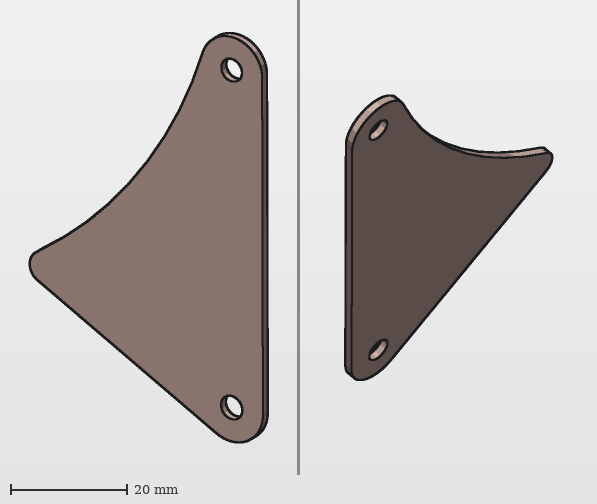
import cadquery as cq
import math

height = 76.2
width = 47.8
thickness = 1.6

lower_radius = 6.4
upper_radius = 6.25
tip_radius = 3.05
lower_hole_diameter = 4.35
upper_hole_diameter = 4.2

tip_rise = 17.15
lower = (0.0, 0.0)
upper = (0.0, height - lower_radius - upper_radius)
tip = (lower_radius + tip_radius - width, tip_rise)

edge_radius = 86.55


def along(start, angle, distance):
    """Point at a distance from start in the direction of angle."""
    return (start[0] + distance * math.cos(angle), start[1] + distance * math.sin(angle))


def direction(start, end):
    return math.atan2(end[1] - start[1], end[0] - start[0])


def tangent_normal(start, start_radius, end, end_radius):
    """Outward normal of the common tangent line, going counterclockwise round the outline."""
    lean = math.acos((start_radius - end_radius) / math.dist(start, end))
    return direction(start, end) - lean


def concave_edge_center():
    """Centre of the circle that touches the tip and upper corners from outside."""
    tip_reach = edge_radius + tip_radius
    upper_reach = edge_radius + upper_radius
    span = math.dist(tip, upper)
    cosine = (tip_reach**2 + span**2 - upper_reach**2) / (2 * tip_reach * span)
    return along(tip, direction(tip, upper) + math.acos(cosine), tip_reach)


def arc_middle(center, radius, start, end):
    """Middle of the short arc between two points on a circle."""
    middle = ((start[0] + end[0]) / 2, (start[1] + end[1]) / 2)
    return along(center, direction(center, middle), radius)


def outline():
    bottom_normal = tangent_normal(tip, tip_radius, lower, lower_radius)
    side_normal = tangent_normal(lower, lower_radius, upper, upper_radius)
    edge_center = concave_edge_center()

    tip_bottom = along(tip, bottom_normal, tip_radius)
    lower_left = along(lower, bottom_normal, lower_radius)
    lower_right = along(lower, side_normal, lower_radius)
    upper_right = along(upper, side_normal, upper_radius)
    upper_left = along(upper, direction(upper, edge_center), upper_radius)
    tip_top = along(tip, direction(tip, edge_center), tip_radius)

    return (
        cq.Workplane("XZ")
        .moveTo(*tip_bottom)
        .lineTo(*lower_left)
        .threePointArc(arc_middle(lower, lower_radius, lower_left, lower_right), lower_right)
        .lineTo(*upper_right)
        .threePointArc(arc_middle(upper, upper_radius, upper_right, upper_left), upper_left)
        .threePointArc(arc_middle(edge_center, edge_radius, upper_left, tip_top), tip_top)
        .threePointArc(arc_middle(tip, tip_radius, tip_top, tip_bottom), tip_bottom)
        .close()
    )


def hole(center, diameter):
    return cq.Workplane("XZ").center(*center).circle(diameter / 2).extrude(thickness)


plate = outline().extrude(thickness)
result = plate.cut(hole(lower, lower_hole_diameter)).cut(hole(upper, upper_hole_diameter))